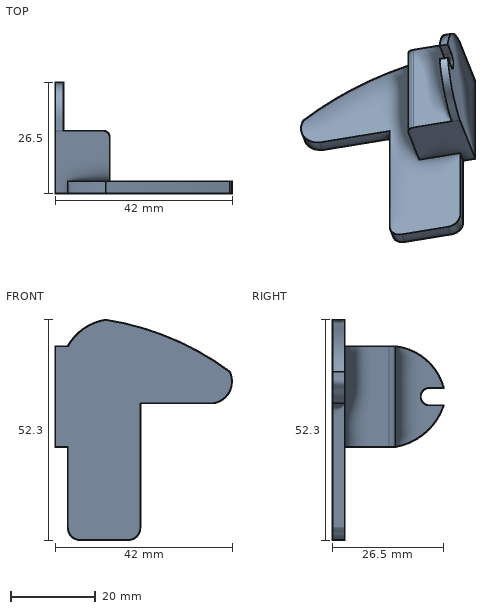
import cadquery as cq

total_height = 52.3
total_length = 41.95
plate_thickness = 3.0
leg_left = 3.0
leg_width = 17.25
leg_right = leg_left + leg_width
leg_corner_radius = 3.0
peak_x = 12.0
shoulder_mid = (6.5, 50.0)
brow_mid = (27.25, 48.0)
beak_corner = (41.4, 39.95)
beak_nose_z = 37.3
beak_bottom_x = 37.4
beak_bottom_z = 32.4

block_bottom = 22.05
block_top = 46.0
block_height = block_top - block_bottom
block_length = 12.95
block_depth = 14.95
block_corner_radius = 1.55
wall_thickness = 2.0
wall_depth = 26.45
wall_mid_z = (block_bottom + block_top) / 2
wall_arc_mid_y = 21.7
wall_upper_arc_rise = 9.2
wall_lower_arc_drop = 8.9

slot_width = 4.1
slot_end_y = 20.95
slot_radius = slot_width / 2


def make_front_plate():
    """Lever outline in XZ, thickened from Y = 0 towards +Y."""
    plate = (
        cq.Workplane("XZ")
        .moveTo(leg_left, 0)
        .lineTo(leg_right, 0)
        .lineTo(leg_right, beak_bottom_z)
        .lineTo(beak_bottom_x, beak_bottom_z)
        .threePointArc((total_length, beak_nose_z), beak_corner)
        .threePointArc(brow_mid, (peak_x, total_height))
        .threePointArc(shoulder_mid, (leg_left, block_top))
        .close()
        .extrude(-plate_thickness)
    )
    return plate.edges("|Y and <Z").fillet(leg_corner_radius)


def make_block():
    """Block joining plate and wall, with its far vertical edge rounded."""
    block = cq.Workplane("XY").box(block_length, block_depth, block_height, centered=False)
    block = block.edges("|Z and >X and >Y").fillet(block_corner_radius)
    return block.translate((0, 0, block_bottom))


def make_side_wall():
    """Wall in YZ with an arc at each rear corner and a round-ended slot between them."""
    slot_top = wall_mid_z + slot_radius
    slot_bottom = wall_mid_z - slot_radius
    slot_center_y = slot_end_y + slot_radius
    return (
        cq.Workplane("YZ")
        .moveTo(0, block_bottom)
        .lineTo(block_depth, block_bottom)
        .threePointArc((wall_arc_mid_y, wall_mid_z - wall_lower_arc_drop), (wall_depth, slot_bottom))
        .lineTo(slot_center_y, slot_bottom)
        .threePointArc((slot_end_y, wall_mid_z), (slot_center_y, slot_top))
        .lineTo(wall_depth, slot_top)
        .threePointArc((wall_arc_mid_y, wall_mid_z + wall_upper_arc_rise), (block_depth, block_top))
        .lineTo(0, block_top)
        .close()
        .extrude(wall_thickness)
    )


result = make_front_plate().union(make_block()).union(make_side_wall())